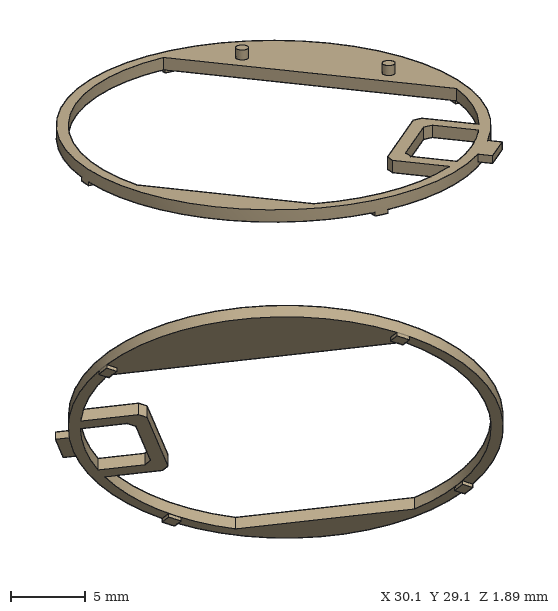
import cadquery as cq

outer_radius = 14.57
rim_width = 0.8
inner_radius = outer_radius - rim_width
ring_height = 0.9
upper_chord_y = 9.27
lower_chord_y = -12.3

frame_left_x = 8.8
frame_width = 7.52
frame_wall = 1.0
frame_chamfer = 0.48

tab_end_x = 30.1 - outer_radius
tab_width = 2.47
tab_thickness = 0.57

pin_diameter = 0.87
pin_height = 0.72
pin_x = 5.1
pin_y = 10.65

foot_width = 1.0
foot_height = 0.27
foot_angles = (45, 135, 225, 315)


def disc(radius, height):
    return cq.Workplane("XY").circle(radius).extrude(height)


def block(x_min, x_max, y_min, y_max, height):
    return (
        cq.Workplane("XY")
        .box(x_max - x_min, y_max - y_min, height, centered=False)
        .translate((x_min, y_min, 0))
    )


def make_ring():
    """Thin rim whose opening is cut off straight by two solid segments."""
    opening = disc(inner_radius, ring_height).intersect(
        block(-inner_radius, inner_radius, lower_chord_y, upper_chord_y, ring_height)
    )
    return disc(outer_radius, ring_height).cut(opening)


def frame_block(left_x, width):
    """Block reaching to the outer radius in X, with its two -X corners chamfered."""
    body = block(left_x, outer_radius, -width / 2, width / 2, ring_height)
    return body.edges("|Z and <X").chamfer(frame_chamfer)


def make_frame():
    """Three-sided frame that the inner wall of the rim closes into a window."""
    body = frame_block(frame_left_x, frame_width)
    window = frame_block(frame_left_x + frame_wall, frame_width - 2 * frame_wall)
    window = window.intersect(disc(inner_radius, ring_height))
    return body.intersect(disc(outer_radius, ring_height)).cut(window)


def make_tab():
    tab_start_x = outer_radius - rim_width / 2
    tab = block(tab_start_x, tab_end_x, -tab_width / 2, tab_width / 2, tab_thickness)
    return tab.translate((0, 0, ring_height - tab_thickness))


def make_pins():
    return (
        cq.Workplane("XY", origin=(0, 0, ring_height))
        .pushPoints([(-pin_x, pin_y), (pin_x, pin_y)])
        .circle(pin_diameter / 2)
        .extrude(pin_height)
    )


def make_foot(angle):
    """Short pad as wide as the rim, with its outer face following the rim."""
    pad = block(inner_radius, outer_radius, -foot_width / 2, foot_width / 2, foot_height)
    pad = pad.intersect(disc(outer_radius, foot_height))
    return pad.translate((0, 0, -foot_height)).rotate((0, 0, 0), (0, 0, 1), angle)


result = make_ring().union(make_frame()).union(make_tab()).union(make_pins())
for foot_angle in foot_angles:
    result = result.union(make_foot(foot_angle))